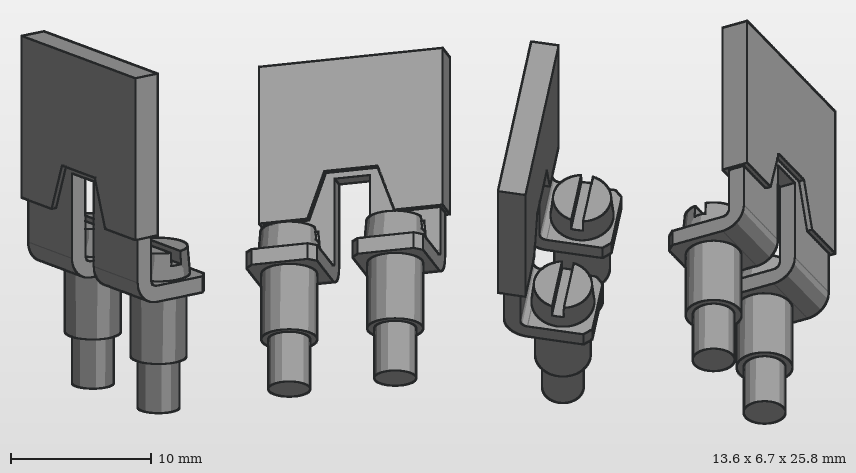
import cadquery as cq


leg_width = 5.25
leg_gap = 2.6
strip_thickness = 1.2
bend_outer_radius = 1.7
bend_inner_radius = bend_outer_radius - strip_thickness
toe_reach = 2.5
toe_chamfer = 0.55
leg_slot_top = 8.0
screw_pitch = leg_width + leg_gap
bracket_width = 2 * leg_width + leg_gap
screw_places = [(-screw_pitch / 2, 0), (screw_pitch / 2, 0)]

cover_width = 13.6
cover_height = 12.0
cover_thickness = 2.0
cover_bottom = 5.0
cover_front = -4.2
cover_top = cover_bottom + cover_height
cover_wall = (cover_thickness - strip_thickness) / 2
notch_height = 3.5
notch_bottom_width = 6.4
notch_top_width = 3.9

bracket_front = cover_front + cover_wall
bracket_back = bracket_front + strip_thickness
bracket_top = cover_top - cover_wall

sleeve_diameter = 4.0
sleeve_length = 5.0

shank_diameter = 3.0
shank_below_sleeve = 3.8
head_bottom_diameter = 4.5
head_top_diameter = 4.15
head_height = 2.0
driver_slot_width = 0.85
driver_slot_depth = 0.95


def make_bracket():
    """L-shaped strip, split into two legs, with a screw hole and head relief in each foot."""
    strip = (
        cq.Workplane("YZ")
        .moveTo(toe_reach, 0)
        .lineTo(bracket_front + bend_outer_radius, 0)
        .radiusArc((bracket_front, bend_outer_radius), bend_outer_radius)
        .lineTo(bracket_front, bracket_top)
        .lineTo(bracket_back, bracket_top)
        .lineTo(bracket_back, strip_thickness + bend_inner_radius)
        .radiusArc((bracket_back + bend_inner_radius, strip_thickness), -bend_inner_radius)
        .lineTo(toe_reach, strip_thickness)
        .close()
        .extrude(bracket_width / 2, both=True)
    )
    leg_slot = (
        cq.Workplane("XZ", origin=(0, toe_reach, 0))
        .rect(leg_gap, 2 * leg_slot_top)
        .extrude(toe_reach - bracket_front)
    )
    screw_holes = (
        cq.Workplane("XY")
        .pushPoints(screw_places)
        .circle(shank_diameter / 2)
        .extrude(strip_thickness)
    )
    head_reliefs = (
        cq.Workplane("XY", origin=(0, 0, strip_thickness))
        .pushPoints(screw_places)
        .circle(head_bottom_diameter / 2)
        .extrude(bend_inner_radius)
    )
    legs = strip.cut(leg_slot)
    legs = legs.faces(">Y").edges("|Z").chamfer(toe_chamfer)
    return legs.cut(screw_holes).cut(head_reliefs)


def make_cover():
    """Flat block with a trapezoidal notch below and a pocket for the bracket."""
    block = cq.Workplane("XY").box(cover_width, cover_thickness, cover_height, centered=(True, False, False))
    block = block.translate((0, cover_front, cover_bottom))
    notch = (
        cq.Workplane("XZ", origin=(0, cover_front, 0))
        .moveTo(-notch_bottom_width / 2, cover_bottom)
        .lineTo(-notch_top_width / 2, cover_bottom + notch_height)
        .lineTo(notch_top_width / 2, cover_bottom + notch_height)
        .lineTo(notch_bottom_width / 2, cover_bottom)
        .close()
        .extrude(-cover_thickness)
    )
    pocket = cq.Workplane("XY").box(
        bracket_width,
        strip_thickness,
        bracket_top - cover_bottom,
        centered=(True, False, False),
    )
    pocket = pocket.translate((0, bracket_front, cover_bottom))
    return block.cut(notch).cut(pocket)


def make_sleeve(place):
    """Tube around the screw shank, hanging below the bracket foot."""
    return (
        cq.Workplane("XY")
        .center(*place)
        .circle(sleeve_diameter / 2)
        .circle(shank_diameter / 2)
        .extrude(-sleeve_length)
    )


def make_screw(place):
    """Screw with a tapered, slotted head resting on the bracket foot."""
    tip_z = -(sleeve_length + shank_below_sleeve)
    head_top = strip_thickness + head_height
    half_profile = [
        (0, tip_z),
        (shank_diameter / 2, tip_z),
        (shank_diameter / 2, strip_thickness),
        (head_bottom_diameter / 2, strip_thickness),
        (head_top_diameter / 2, head_top),
        (0, head_top),
    ]
    screw = cq.Workplane("XZ").polyline(half_profile).close().revolve(360, (0, 0, 0), (0, 1, 0))
    driver_slot = cq.Workplane("XY").box(
        head_bottom_diameter,
        driver_slot_width,
        driver_slot_depth,
        centered=(True, True, False),
    )
    driver_slot = driver_slot.translate((0, 0, head_top - driver_slot_depth))
    return screw.cut(driver_slot).translate((*place, 0))


bracket = make_bracket()
cover = make_cover()
sleeves = [make_sleeve(place).val() for place in screw_places]
screws = [make_screw(place).val() for place in screw_places]

result = cq.Compound.makeCompound([bracket.val(), cover.val(), *sleeves, *screws])